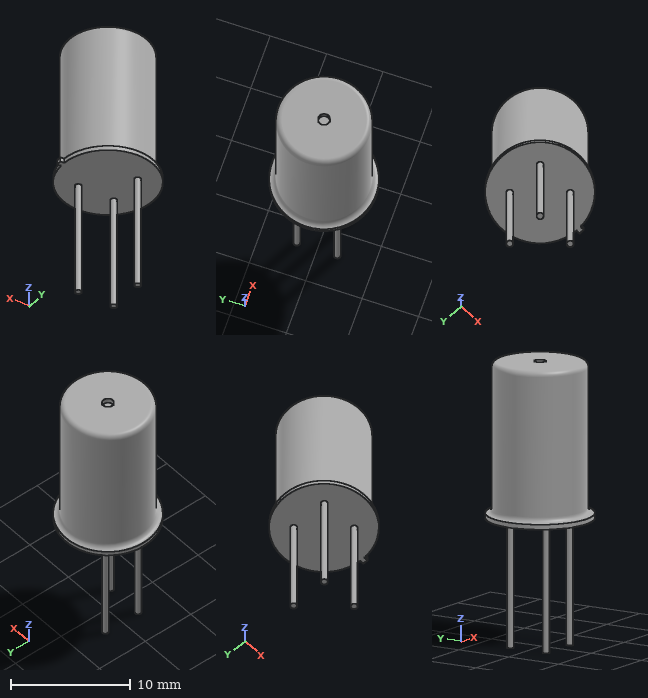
import cadquery as cq
import math

total_height = 24.5
lead_length = 11.02

flange_diameter = 9.2
flange_thickness = 0.45
tab_reach = 4.97
tab_width = 0.5

can_diameter = 8.1
can_height = total_height - lead_length
top_rounding = 0.5
base_flare = 0.5

hole_diameter = 1.0
hole_depth = 0.5

lead_diameter = 0.6
lead_circle_diameter = 5.07
lead_angles = (135, 225, 315)


def make_can():
    """Revolve the flange and can, with a concave flare at the can's foot."""
    flange_radius = flange_diameter / 2
    can_radius = can_diameter / 2
    flare_top = flange_thickness + base_flare
    arc_offset = base_flare * (1 - math.sqrt(0.5))
    flare_middle = (can_radius + arc_offset, flange_thickness + arc_offset)
    profile = (
        cq.Workplane("XZ")
        .lineTo(flange_radius, 0)
        .lineTo(flange_radius, flange_thickness)
        .lineTo(can_radius + base_flare, flange_thickness)
        .threePointArc(flare_middle, (can_radius, flare_top))
        .lineTo(can_radius, can_height)
        .lineTo(0, can_height)
        .close()
    )
    can = profile.revolve(360, (0, 0, 0), (0, 1, 0))
    return can.faces(">Z").edges().fillet(top_rounding)


def make_tab():
    """Index tab on the +X side, level with the flange."""
    return cq.Workplane("XY").box(
        tab_reach, tab_width, flange_thickness, centered=(False, True, False)
    )


def make_lead(angle):
    """One round lead hanging below the flange."""
    circle_radius = lead_circle_diameter / 2
    x = circle_radius * math.cos(math.radians(angle))
    y = circle_radius * math.sin(math.radians(angle))
    return cq.Workplane("XY").center(x, y).circle(lead_diameter / 2).extrude(-lead_length)


result = make_can().union(make_tab())
for lead_angle in lead_angles:
    result = result.union(make_lead(lead_angle))
result = result.faces(">Z").workplane(origin=(0, 0, 0)).hole(hole_diameter, hole_depth)